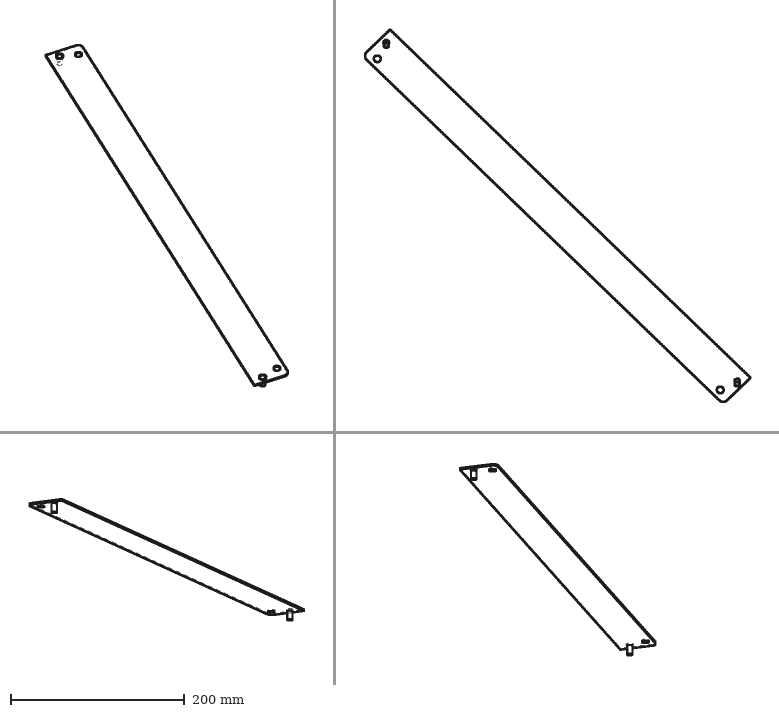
import cadquery as cq

plate_length = 587.38
plate_width = 44.45
plate_thickness = 1.98
corner_radius = 6.35

mount_hole_diameter = 7.92
mount_hole_spacing = 558.8
mount_hole_from_back = 9.53

stud_spacing = 571.5
stud_from_front = 13.97
stud_length = 12.7
stud_head_diameter = 8.56
stud_head_thickness = 0.5
shank_diameter = 6.3
shank_hole_diameter = 6.35
shank_tip_chamfer = 0.4

mount_hole_y = plate_width / 2 - mount_hole_from_back
stud_y = stud_from_front - plate_width / 2
mount_hole_points = [(side * mount_hole_spacing / 2, mount_hole_y) for side in (-1, 1)]
stud_points = [(side * stud_spacing / 2, stud_y) for side in (-1, 1)]


def downward_cylinders(points, diameter, depth):
    """Cylinders at the given points, running down from the top face."""
    return cq.Workplane("XY").pushPoints(points).circle(diameter / 2).extrude(-depth)


def make_plate():
    """Flat plate with rounded back corners, mounting holes and stepped stud holes."""
    blank = cq.Workplane("XY").rect(plate_length, plate_width).extrude(-plate_thickness)
    rounded = blank.edges("|Z and >Y").fillet(corner_radius)
    mount_holes = downward_cylinders(mount_hole_points, mount_hole_diameter, plate_thickness)
    shank_holes = downward_cylinders(stud_points, shank_hole_diameter, plate_thickness)
    head_recesses = downward_cylinders(stud_points, stud_head_diameter, stud_head_thickness)
    return rounded.cut(mount_holes).cut(shank_holes).cut(head_recesses)


def make_stud(point):
    """Stud with a thin head flush with the plate top and a chamfered shank tip."""
    shank = downward_cylinders([point], shank_diameter, stud_length)
    shank = shank.faces("<Z").edges().chamfer(shank_tip_chamfer)
    head = downward_cylinders([point], stud_head_diameter, stud_head_thickness)
    return shank.union(head)


plate = make_plate()
studs = [make_stud(point) for point in stud_points]

result = cq.Compound.makeCompound([plate.val(), *[stud.val() for stud in studs]])